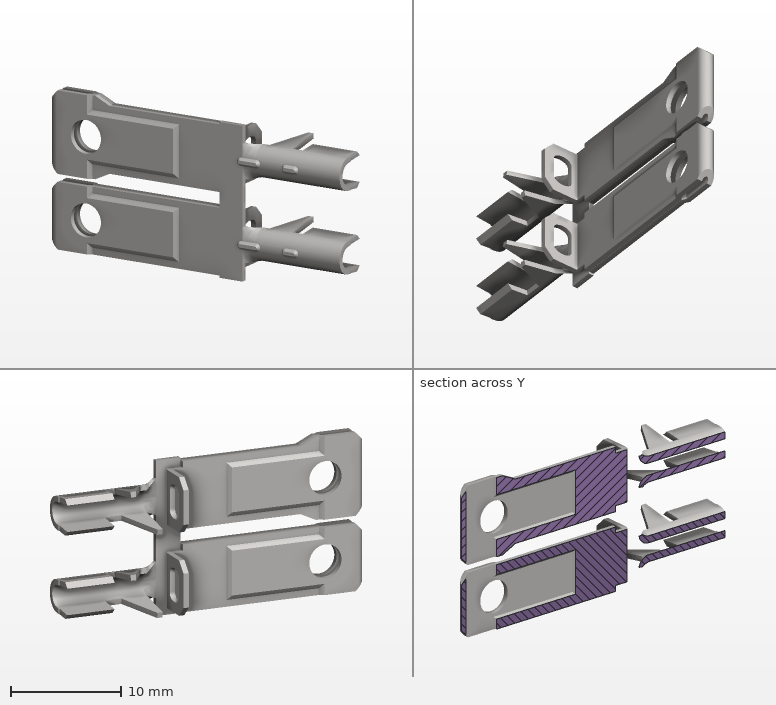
import cadquery as cq
import math


SHEET = 0.52
FOLD_GAP = 0.03
LEAF_INNER = FOLD_GAP / 2
LEAF_OUTER = LEAF_INNER + SHEET

RAISED_OUTER = 0.8
RAISE = RAISED_OUTER - LEAF_OUTER
STEP_RUN = 0.43
STEP_ANGLE = math.atan2(RAISE, STEP_RUN)
CAVITY_INSET = SHEET * math.tan(STEP_ANGLE / 2)
BLADE_HALF = 3.2
WIDE_HEAD_HALF = 3.95
TRIM_MARGIN = 0.3
TRIM_REACH = WIDE_HEAD_HALF + TRIM_MARGIN
NOSE_CHAMFER = 0.92
HEAD_END = 4.77
NECK_START = 6.3
STEP_END = 4.45
PANEL_HALF = 2.55
PANEL_END = 13.65
HOLE_X = 3.95
HOLE_DIAMETER = 3.2

SHOULDER_START = 18.0
SHOULDER_END = 20.42
SHOULDER_HALF = 3.4
PITCH = 7.87

TAB_FACE = 19.6
TAB_HALF = 2.6
TAB_TOP = 4.2
TAB_CHAMFER = 0.98
TAB_BEND = 0.12
TAB_WINDOW_Y = 2.18
TAB_WINDOW_WIDTH = 2.03
TAB_WINDOW_LENGTH = HOLE_DIAMETER
TAB_WINDOW_CORNER = 0.6

BARREL_RADIUS = 1.57
BARREL_Y = BARREL_RADIUS - LEAF_OUTER
BARREL_START = 21.78
BARREL_END = 30.75
BOTTOM_LEAN = 90.0
THROAT_HALF = 1.72

WIRE_LEAN = 5.5
WIRE_START = 25.95
WIRE_OUTER_TOP = 2.65
WIRE_INNER_TOP = 3.15
WIRE_SETBACK = 0.1
WIRE_SETBACK_Y = 1.38

OVERALL_DEPTH = 5.3
GRIP_LEAN = 10.0
GRIP_END = 24.95
GRIP_TOP = OVERALL_DEPTH - RAISED_OUTER
GRIP_TIP = 0.52
GRIP_FOOT = 2.55

BEAD_WIDTH = 0.8
BEAD_HEIGHT = RAISE
BEAD_TAPER = 42.0
BEADS = [(19.87, 22.3), (24.6, 26.35)]


def block(x0, x1, y0, y1, z0, z1):
    """Box between two corners."""
    return cq.Workplane().box(x1 - x0, y1 - y0, z1 - z0, centered=False).translate((x0, y0, z0))


def mirrored(points):
    """Closed outline from its upper half, mirrored about the X axis."""
    return points + [(x, -z) for x, z in reversed(points)]


def both_leaves(front):
    """Front leaf shape together with its rear counterpart."""
    return front.union(front.mirror("XZ"))



def raised_outline(inset):
    """Head joined to the narrower panel, drawn in by the inset behind the head and around the panel."""
    head_end = STEP_END - inset
    panel_half = PANEL_HALF - inset
    return mirrored([
        (RAISED_OUTER, TRIM_REACH),
        (head_end, TRIM_REACH),
        (head_end, panel_half),
        (PANEL_END - inset, panel_half),
    ])


def raised_layer(foot, inset):
    """Raised area of both leaves, from the foot distance off the mid-plane, with sloped steps."""
    front = (
        cq.Workplane("XZ").workplane(offset=foot).polyline(raised_outline(inset)).close()
        .workplane(offset=RAISE).polyline(raised_outline(inset + STEP_RUN)).close()
        .loft(ruled=True)
    )
    return both_leaves(front)


def fold(half_thickness, foot, inset):
    """Folded envelope: round nose, flat slab and raised area."""
    nose = cq.Workplane("XY").center(RAISED_OUTER, 0).circle(half_thickness).extrude(TRIM_REACH, both=True)
    slab = block(RAISED_OUTER, SHOULDER_START, -foot, foot, -TRIM_REACH, TRIM_REACH)
    return slab.union(nose).union(raised_layer(foot, inset))


def blade(head_half):
    outline = mirrored([
        (0, head_half - NOSE_CHAMFER),
        (NOSE_CHAMFER, head_half),
        (HEAD_END, head_half),
        (NECK_START, BLADE_HALF),
        (SHOULDER_START, BLADE_HALF),
    ])
    prism = cq.Workplane("XZ").polyline(outline).close().extrude(RAISED_OUTER, both=True)
    hole = (
        cq.Workplane("XZ").center(HOLE_X, 0).circle(HOLE_DIAMETER / 2)
        .extrude(RAISED_OUTER, both=True)
    )
    shell = fold(RAISED_OUTER, LEAF_OUTER, 0).intersect(prism)
    cavity = fold(RAISED_OUTER - SHEET, LEAF_INNER, CAVITY_INSET)
    return shell.cut(cavity).cut(hole)


def shoulder():
    return block(SHOULDER_START, SHOULDER_END, -LEAF_OUTER, -LEAF_INNER, -SHOULDER_HALF, SHOULDER_HALF)


def upturned_tab():
    """Rear leaf end, bent up to +Y, with chamfered corners and a window."""
    outer_bend = TAB_BEND + SHEET
    back = TAB_FACE - SHEET
    bend_x = TAB_FACE - outer_bend
    bend_y = LEAF_OUTER + TAB_BEND
    diagonal = math.sqrt(0.5)
    strip = (
        cq.Workplane("XY").moveTo(SHOULDER_START, LEAF_INNER).lineTo(bend_x, LEAF_INNER)
        .threePointArc((bend_x + outer_bend * diagonal, bend_y - outer_bend * diagonal), (TAB_FACE, bend_y))
        .lineTo(TAB_FACE, TAB_TOP).lineTo(back, TAB_TOP).lineTo(back, bend_y)
        .threePointArc((bend_x + TAB_BEND * diagonal, bend_y - TAB_BEND * diagonal), (bend_x, LEAF_OUTER))
        .lineTo(SHOULDER_START, LEAF_OUTER).close()
        .extrude(TAB_HALF, both=True)
    )
    strip = strip.faces(">Y").edges("|X").chamfer(TAB_CHAMFER)
    window_base = cq.Workplane("YZ", origin=(back, TAB_WINDOW_Y, 0))
    window = (
        window_base.circle(TAB_WINDOW_LENGTH / 2).extrude(SHEET)
        .intersect(window_base.rect(TAB_WINDOW_WIDTH, TAB_WINDOW_LENGTH).extrude(SHEET))
        .edges("|X").fillet(TAB_WINDOW_CORNER)
    )
    return strip.cut(window)



def rim_point(radius, lean, side):
    """(Y, Z) point of a barrel arc where a wall of the given lean runs off tangentially."""
    angle = math.radians(lean)
    return BARREL_Y - radius * math.sin(angle), side * radius * math.cos(angle)


def half_arc(work, radius, from_lean, to_lean, side):
    """Barrel arc on one side of the terminal axis, drawn from the current point; lean 90 is the bottom."""
    middle = rim_point(radius, (from_lean + to_lean) / 2, side)
    return work.threePointArc(middle, rim_point(radius, to_lean, side))


def barrel_section(work):
    inner_radius = BARREL_RADIUS - SHEET
    work = work.moveTo(*rim_point(BARREL_RADIUS, WIRE_LEAN, -1))
    work = half_arc(work, BARREL_RADIUS, WIRE_LEAN, BOTTOM_LEAN, -1)
    work = half_arc(work, BARREL_RADIUS, BOTTOM_LEAN, WIRE_LEAN, 1)
    work = work.lineTo(*rim_point(inner_radius, WIRE_LEAN, 1))
    work = half_arc(work, inner_radius, WIRE_LEAN, BOTTOM_LEAN, 1)
    work = half_arc(work, inner_radius, BOTTOM_LEAN, WIRE_LEAN, -1)
    return work.close()


def throat_section(work):
    """Flat strip, with a point on the axis of each long edge to pair with the two barrel half arcs."""
    return work.polyline([
        (-LEAF_OUTER, -THROAT_HALF),
        (-LEAF_OUTER, 0),
        (-LEAF_OUTER, THROAT_HALF),
        (-LEAF_INNER, THROAT_HALF),
        (-LEAF_INNER, 0),
        (-LEAF_INNER, -THROAT_HALF),
    ]).close()


def barrel():
    """Half-round trough, blended from the flat shoulder by a throat."""
    trough = barrel_section(cq.Workplane("YZ", origin=(BARREL_START, 0, 0)))
    trough = trough.extrude(BARREL_END - BARREL_START)
    throat = throat_section(cq.Workplane("YZ", origin=(SHOULDER_END, 0, 0)))
    throat = barrel_section(throat.workplane(offset=BARREL_START - SHOULDER_END)).loft(ruled=True)
    return trough.union(throat)


def wire_wings():
    """Pair of leaning wings with beveled outer rims."""
    angle = math.radians(WIRE_LEAN)
    foot_y, foot_z = rim_point(BARREL_RADIUS, WIRE_LEAN, 1)
    outer_length = (WIRE_OUTER_TOP - foot_y) / math.cos(angle)
    inner_length = (WIRE_INNER_TOP - foot_y - SHEET * math.sin(angle)) / math.cos(angle)
    plane = cq.Plane(
        origin=(WIRE_START, foot_y, foot_z),
        xDir=(0, math.cos(angle), math.sin(angle)),
        normal=(1, 0, 0),
    )
    wing = (
        cq.Workplane(plane)
        .polyline([(0, 0), (outer_length, 0), (inner_length, -SHEET), (0, -SHEET)]).close()
        .extrude(BARREL_END - WIRE_START)
    )
    setback = block(
        BARREL_END - WIRE_SETBACK, BARREL_END, WIRE_SETBACK_Y, GRIP_TOP, 0, WIDE_HEAD_HALF
    )
    wing = wing.cut(setback)
    return wing.union(wing.mirror("XY"))


def grip_wing(straight_x, direction):
    """Leaning triangular wing on the +Z side; its tip grows from straight_x along the direction."""
    angle = math.radians(GRIP_LEAN)
    foot_y, foot_z = rim_point(BARREL_RADIUS, GRIP_LEAN, 1)
    length = (GRIP_TOP - foot_y - SHEET * math.sin(angle)) / math.cos(angle)
    plane = cq.Plane(
        origin=(straight_x, foot_y, foot_z),
        xDir=(1, 0, 0),
        normal=(0, -math.sin(angle), math.cos(angle)),
    )
    return (
        cq.Workplane(plane)
        .polyline([(0, 0), (0, length), (direction * GRIP_TIP, length), (direction * GRIP_FOOT, 0)]).close()
        .extrude(-SHEET)
    )


def grip_wings():
    """Staggered insulation wings, pointing up at opposite ends."""
    upper = grip_wing(GRIP_END, -1)
    lower = grip_wing(BARREL_START, 1).mirror("XY")
    return upper.union(lower)


def bead(start, end):
    """Round-ended bead with sloped sides, rooted halfway into the sheet."""
    root = SHEET / 2
    length = end - start
    base = cq.Workplane("XZ", origin=((start + end) / 2, -LEAF_OUTER, 0))
    crest = base.slot2D(length, BEAD_WIDTH).extrude(BEAD_HEIGHT, taper=BEAD_TAPER)
    return crest.union(base.slot2D(length, BEAD_WIDTH).extrude(-root))



def terminal(head_half, axis_z):
    body = blade(head_half).union(shoulder()).union(upturned_tab())
    body = body.union(barrel()).union(wire_wings()).union(grip_wings())
    for start, end in BEADS:
        body = body.union(bead(start, end))
    return body.translate((0, 0, axis_z))


def carrier_link():
    """Strip of the carrier left between the shoulders of the two terminals."""
    return block(
        SHOULDER_START, SHOULDER_END, -LEAF_OUTER, -LEAF_INNER,
        SHOULDER_HALF - PITCH, -SHOULDER_HALF,
    )


terminals = [
    terminal(head_half, axis_z)
    for head_half, axis_z in [(WIDE_HEAD_HALF, 0), (BLADE_HALF, -PITCH)]
]
link = carrier_link()

result = cq.Compound.makeCompound([*[body.val() for body in terminals], link.val()])